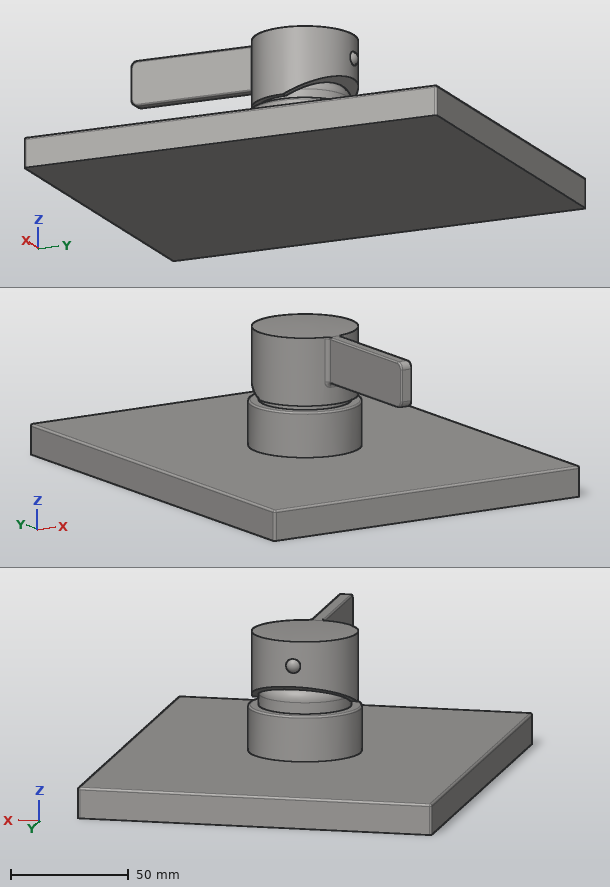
import cadquery as cq

PLATE_LENGTH = 192.0
PLATE_WIDTH = 154.0
PLATE_THICKNESS = 13.5
PLATE_EDGE_RADIUS = 1.0

COLLAR_RADIUS = 24.2
COLLAR_TOP_Z = 33.2
COLLAR_EDGE_RADIUS = 0.8
NECK_RADIUS = 19.8
NECK_TOP_Z = 44.2
NECK_TOP_RADIUS = 6.0

CAP_RADIUS = 22.7
CAP_BOTTOM_Z = 35.5
CAP_TOP_Z = 65.7
CAP_CROWN_RISE = 0.5
CAP_REAR_BOTTOM_Z = 45.5

LEVER_WIDTH = 5.5
LEVER_REACH = 79.9
LEVER_BOTTOM_Z = 45.1
LEVER_TOP_Z = CAP_TOP_Z - CAP_CROWN_RISE
LEVER_CORNER_RADIUS = 3.0
LEVER_EDGE_RADIUS = 0.67
LEVER_ROOT_RADIUS = 2.0
ROOT_SEARCH_MARGIN = 0.4

BUTTON_RADIUS = 3.0
BUTTON_RISE = 2.0
BUTTON_Z = 54.5


def make_neck():
    """Round neck with a rounded top, from the plate top up into the cap."""
    return (
        cq.Workplane("XY")
        .workplane(offset=PLATE_THICKNESS)
        .circle(NECK_RADIUS)
        .extrude(NECK_TOP_Z - PLATE_THICKNESS)
        .faces(">Z")
        .edges()
        .fillet(NECK_TOP_RADIUS)
    )


def make_base():
    """Plate, collar and neck in one piece."""
    plate = (
        cq.Workplane("XY")
        .box(PLATE_WIDTH, PLATE_LENGTH, PLATE_THICKNESS, centered=(True, True, False))
        .edges("|Z or >Z")
        .fillet(PLATE_EDGE_RADIUS)
    )
    collar = (
        cq.Workplane("XY")
        .workplane(offset=PLATE_THICKNESS)
        .circle(COLLAR_RADIUS)
        .extrude(COLLAR_TOP_Z - PLATE_THICKNESS)
        .faces(">Z")
        .edges()
        .fillet(COLLAR_EDGE_RADIUS)
    )
    return plate.union(collar).union(make_neck())


def make_cap():
    """Cylinder with a shallow spherical crown."""
    rim_z = CAP_TOP_Z - CAP_CROWN_RISE
    crown_radius = (CAP_RADIUS**2 + CAP_CROWN_RISE**2) / (2 * CAP_CROWN_RISE)
    crown_mid_radius = CAP_RADIUS / 2
    crown_mid_drop = crown_radius - (crown_radius**2 - crown_mid_radius**2) ** 0.5
    return (
        cq.Workplane("XZ")
        .moveTo(0, CAP_BOTTOM_Z)
        .lineTo(CAP_RADIUS, CAP_BOTTOM_Z)
        .lineTo(CAP_RADIUS, rim_z)
        .threePointArc((crown_mid_radius, CAP_TOP_Z - crown_mid_drop), (0, CAP_TOP_Z))
        .close()
        .revolve(360, (0, 0, 0), (0, 1, 0))
    )


def make_lever():
    """Flat lever from the cap axis toward -Y, rounded at its free end."""
    return (
        cq.Workplane("XY")
        .box(LEVER_WIDTH, LEVER_REACH, LEVER_TOP_Z - LEVER_BOTTOM_Z, centered=(True, False, False))
        .translate((0, -LEVER_REACH, LEVER_BOTTOM_Z))
        .edges("<Y and |X")
        .fillet(LEVER_CORNER_RADIUS)
        .faces("<X or >X")
        .edges("not >Y")
        .fillet(LEVER_EDGE_RADIUS)
    )


def make_rear_relief():
    """Wedge that slants the underside of the cap upward toward +Y."""
    return (
        cq.Workplane("YZ")
        .moveTo(0, CAP_BOTTOM_Z)
        .lineTo(CAP_RADIUS, CAP_BOTTOM_Z)
        .lineTo(CAP_RADIUS, CAP_REAR_BOTTOM_Z)
        .close()
        .extrude(CAP_RADIUS, both=True)
    )


def make_button():
    """Domed button standing out of the cap wall."""
    dome_radius = (BUTTON_RADIUS**2 + BUTTON_RISE**2) / (2 * BUTTON_RISE)
    center_y = CAP_RADIUS + BUTTON_RISE - dome_radius
    return cq.Workplane("XY").sphere(dome_radius).translate((0, center_y, BUTTON_Z))


def make_handle():
    """Cap, lever and button in one piece, hollowed to sit over the neck."""
    joined = make_cap().union(make_lever())
    root_edges = cq.selectors.BoxSelector(
        (-LEVER_WIDTH, -CAP_RADIUS - ROOT_SEARCH_MARGIN, LEVER_BOTTOM_Z - ROOT_SEARCH_MARGIN),
        (LEVER_WIDTH, -CAP_RADIUS + ROOT_SEARCH_MARGIN, LEVER_TOP_Z - ROOT_SEARCH_MARGIN),
    )
    joined = joined.edges(root_edges).fillet(LEVER_ROOT_RADIUS)
    return joined.union(make_button()).cut(make_rear_relief()).cut(make_neck())


base = make_base()
handle = make_handle()

result = cq.Compound.makeCompound([base.solids().val(), handle.solids().val()])